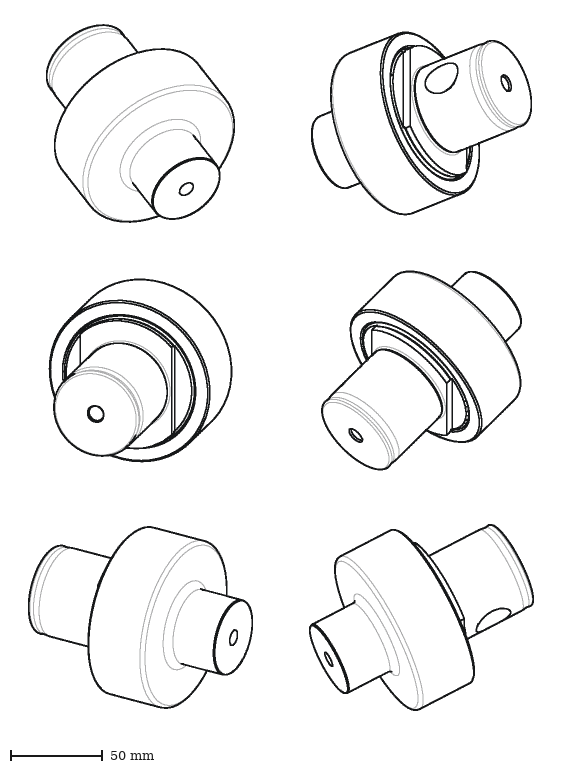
import cadquery as cq
import math


COS_45 = math.cos(math.radians(45))

total_length = 115.0
bore_radius = 4.3
bore_chamfer_width = 0.5
bore_chamfer_depth = 1.2

shank_radius = 25.0
shank_end_radius = 24.8
shank_end_round = 1.2
relief_radius = 24.5
relief_x = 3.2
shank_start_x = 7.0

shank_undercut_x = 43.1
shank_undercut_taper = 0.7
shank_undercut_radius = 24.7
shank_undercut_fillet = 1.0

flange_x = 45.1
flange_radius = 37.3
flange_thickness = 3.2
flange_end_x = flange_x + flange_thickness
half_across_flats = 26.8
flats_end_x = 49.7

flange_undercut_taper = 0.7
flange_undercut_radius = 36.6
pilot_fillet = 1.5

pilot_radius = flange_undercut_radius + pilot_fillet
pilot_shoulder_x = flange_end_x + flange_undercut_taper + pilot_fillet
pilot_end_x = 59.8

recess_x = 25.6
recess_mouth_radius = 10.8

disc_x = 49.9
disc_length = 35.0
disc_radius = 94.0 / 2
disc_chamfer = 0.9
disc_round = 2.1
seat_chamfer_width = 0.9
seat_chamfer_depth = 0.6

boss_radius = 21.0
boss_fillet = 3.9
boss_end_taper_length = 0.7
boss_end_taper_drop = 0.3


def concave_midpoint(end_x, start_radius, fillet):
    """Midpoint of a fillet that leaves a cylinder and rises to a face at end_x (larger X)."""
    centre_x = end_x - fillet
    centre_radius = start_radius + fillet
    return (centre_x + fillet * COS_45, centre_radius - fillet * COS_45)


def revolve_about_x(profile):
    return profile.close().revolve(360, (0, 0, 0), (1, 0, 0))


def axial_cylinder(radius, start_x, end_x):
    return cq.Workplane("YZ", origin=(start_x, 0, 0)).circle(radius).extrude(end_x - start_x)


def make_spindle_blank():
    round_start_radius = shank_end_radius - shank_end_round
    round_midpoint = (
        shank_end_round * (1 - COS_45),
        round_start_radius + shank_end_round * COS_45,
    )
    profile = (
        cq.Workplane("XY")
        .moveTo(0, 0)
        .lineTo(0, round_start_radius)
        .threePointArc(round_midpoint, (shank_end_round, shank_end_radius))
        .lineTo(relief_x, relief_radius)
        .lineTo(shank_start_x, shank_radius)
        .lineTo(shank_undercut_x, shank_radius)
        .lineTo(shank_undercut_x + shank_undercut_taper, shank_undercut_radius)
        .lineTo(flange_x - shank_undercut_fillet, shank_undercut_radius)
        .threePointArc(
            concave_midpoint(flange_x, shank_undercut_radius, shank_undercut_fillet),
            (flange_x, shank_undercut_radius + shank_undercut_fillet),
        )
        .lineTo(flange_x, flange_radius)
        .lineTo(flange_end_x, flange_radius)
        .lineTo(flange_end_x + flange_undercut_taper, flange_undercut_radius)
        .threePointArc(
            concave_midpoint(pilot_shoulder_x, flange_undercut_radius, pilot_fillet),
            (pilot_shoulder_x, pilot_radius),
        )
        .lineTo(pilot_end_x, pilot_radius)
        .lineTo(pilot_end_x, 0)
    )
    return revolve_about_x(profile)


def make_flat_cutters():
    """Blocks that trim the flange to its wrench flats on the +Y and -Y sides."""
    length = flats_end_x - flange_x
    width = flange_radius
    block = cq.Workplane("XY").box(length, width, 2 * flange_radius)
    middle_x = flange_x + length / 2
    offset_y = half_across_flats + width / 2
    return [block.translate((middle_x, side * offset_y, 0)) for side in (1, -1)]


def make_recess_cutter():
    """Cone pointing to the axis, extended past the shank surface to cut clear of it."""
    clearance = 1.2
    mouth_radius = recess_mouth_radius + clearance
    cone = cq.Solid.makeCone(
        mouth_radius, 0, mouth_radius,
        pnt=cq.Vector(recess_x, shank_radius + clearance, 0),
        dir=cq.Vector(0, -1, 0),
    )
    return cq.Workplane(cone)


def make_spindle():
    spindle = make_spindle_blank()
    for cutter in make_flat_cutters():
        spindle = spindle.cut(cutter)
    spindle = spindle.cut(make_recess_cutter())
    spindle = spindle.cut(axial_cylinder(bore_radius, 0, pilot_end_x))
    bore_mouth = cq.Solid.makeCone(
        bore_radius + bore_chamfer_width, bore_radius, bore_chamfer_depth, dir=cq.Vector(1, 0, 0)
    )
    return spindle.cut(cq.Workplane(bore_mouth))


def make_head():
    disc_end_x = disc_x + disc_length
    round_centre_x = disc_end_x - disc_round
    round_centre_radius = disc_radius - disc_round
    round_midpoint = (
        round_centre_x + disc_round * COS_45,
        round_centre_radius + disc_round * COS_45,
    )
    boss_fillet_midpoint = (
        disc_end_x + boss_fillet * (1 - COS_45),
        boss_radius + boss_fillet * (1 - COS_45),
    )
    profile = (
        cq.Workplane("XY")
        .moveTo(pilot_end_x, bore_radius)
        .lineTo(pilot_end_x, pilot_radius)
        .lineTo(disc_x + seat_chamfer_depth, pilot_radius)
        .lineTo(disc_x, pilot_radius + seat_chamfer_width)
        .lineTo(disc_x, disc_radius - disc_chamfer)
        .lineTo(disc_x + disc_chamfer, disc_radius)
        .lineTo(round_centre_x, disc_radius)
        .threePointArc(round_midpoint, (disc_end_x, round_centre_radius))
        .lineTo(disc_end_x, boss_radius + boss_fillet)
        .threePointArc(boss_fillet_midpoint, (disc_end_x + boss_fillet, boss_radius))
        .lineTo(total_length - boss_end_taper_length, boss_radius)
        .lineTo(total_length, boss_radius - boss_end_taper_drop)
        .lineTo(total_length, bore_radius)
    )
    return revolve_about_x(profile)


spindle = make_spindle()
head = make_head()

result = cq.Compound.makeCompound([spindle.solids().val(), head.solids().val()])